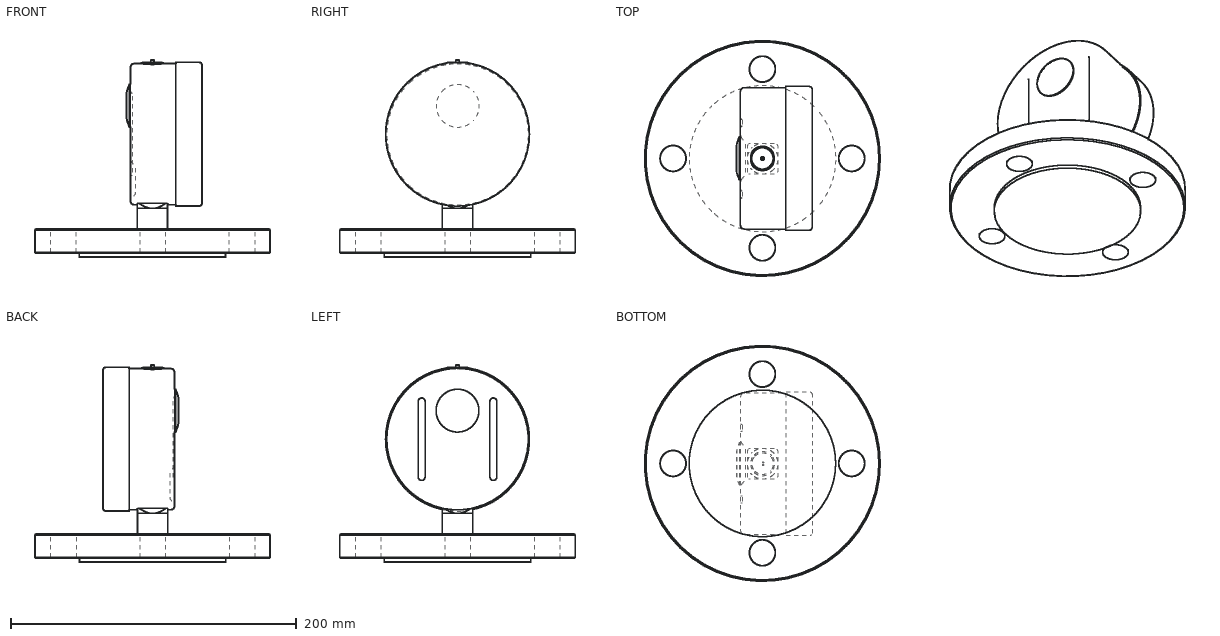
import cadquery as cq
import math

seat = 1.6

flange_diameter = 165
flange_bottom = 2.6
flange_top = 20.0
flange_chamfer = 1.0
raised_face_diameter = 102.6
bolt_hole_diameter = 18.0
bolt_circle_diameter = 125.0
bolt_count = 4

housing_diameter = 99
cover_diameter = 100.8
housing_z = 86.1
housing_back = -15.3
cover_back = 16.5
cover_front = 34.8
housing_fillet = 2.6
cover_fillet = 2.1

stem_diameter = 21.5
stem_shoulder_z = 34.2
square_end_top = housing_z - 41.2

plug_z = housing_z + 20.0
plug_diameter = 30.0
plug_rim = 0.8
plug_height = 2.8
plug_bulge = 0.23
plug_flat_diameter = 18.0
plug_recess_diameter = 13.7
plug_recess_depth = 0.2

groove_offset = 25.0
groove_lip = 0.7
groove_length = 59.0 - 2 * groove_lip
groove_width = 6.1 - 2 * groove_lip
groove_floor_fillet = 0.5
groove_depth = 1.3

pocket_width = 30.2
pocket_top = housing_z - 18.6
pocket_bottom_radius = 45.7
pocket_corner = 5
pocket_floor_corner = 3.6
pocket_depth = 3.3
pocket_inset = 4.0
pocket_lip_fillet = 2.1
pocket_floor_fillet = 0.8

button_diameter = 17.0
button_shoulder_diameter = 15.0
button_top_diameter = 12.2
button_edge_z = 135.5
button_shoulder_z = 136.1
button_top = 136.5
pin_diameter = 2.5
pin_top = 138.3
pin_chamfer = 0.5


def disc_x(diameter, x_start, x_end):
    """Cylinder along X on the housing axis."""
    plane = cq.Workplane("YZ", origin=(x_start, 0, housing_z))
    return plane.circle(diameter / 2).extrude(x_end - x_start)


def make_flange():
    plate = cq.Workplane("XY").workplane(offset=flange_bottom).circle(flange_diameter / 2)
    plate = plate.extrude(flange_top - flange_bottom).edges().chamfer(flange_chamfer)
    face = cq.Workplane("XY").circle(raised_face_diameter / 2).extrude(flange_bottom)
    flange = plate.union(face)
    holes = (
        cq.Workplane("XY")
        .polarArray(bolt_circle_diameter / 2, 0, 360, bolt_count)
        .circle(bolt_hole_diameter / 2)
        .extrude(flange_top)
    )
    return flange.cut(holes)


def make_housing():
    body = disc_x(housing_diameter, housing_back, cover_back).edges("<X").fillet(housing_fillet)
    cover = disc_x(cover_diameter, cover_back, cover_front).edges(">X").fillet(cover_fillet)
    return body.union(cover)


def make_stem():
    radius = stem_diameter / 2
    height = square_end_top - stem_shoulder_z
    rod = cq.Workplane("XY").workplane(offset=flange_top - seat).circle(radius)
    rod = rod.extrude(stem_shoulder_z - flange_top + seat)
    end = cq.Workplane("XY").workplane(offset=stem_shoulder_z).rect(stem_diameter, stem_diameter)
    end = end.extrude(height)
    cone = cq.Workplane(cq.Solid.makeCone(radius, radius + height, height))
    cone = cone.translate((0, 0, stem_shoulder_z))
    return rod.union(end.intersect(cone))


def make_plug():
    edge = plug_diameter / 2
    flat = plug_flat_diameter / 2
    recess = plug_recess_diameter / 2
    middle = ((edge + flat) / 2, (plug_rim + plug_height) / 2 + plug_bulge)
    profile = (
        cq.Workplane("XY")
        .moveTo(0, -seat)
        .lineTo(edge, -seat)
        .lineTo(edge, plug_rim)
        .threePointArc(middle, (flat, plug_height))
        .lineTo(recess, plug_height - plug_recess_depth)
        .lineTo(0, plug_height - plug_recess_depth)
        .close()
    )
    plug = profile.revolve(360, (0, 0, 0), (0, 1, 0))
    return plug.rotate((0, 0, 0), (0, 0, 1), 90).translate((housing_back, 0, plug_z))


def make_groove(y):
    plane = cq.Workplane("YZ", origin=(housing_back, y, housing_z))
    groove = plane.slot2D(groove_length, groove_width, 90).extrude(groove_depth)
    return groove.faces(">X").edges().fillet(groove_floor_fillet)


def pocket_outline(x, inset, corner):
    """Rounded pocket outline with a bottom edge concentric with the housing."""
    half = pocket_width / 2 - inset
    top = pocket_top - housing_z - inset
    radius = pocket_bottom_radius - inset
    side_bottom = -math.sqrt(radius**2 - half**2)
    plane = cq.Workplane("YZ", origin=(x, 0, housing_z))
    outline = (
        plane.moveTo(-half, top)
        .lineTo(half, top)
        .lineTo(half, side_bottom)
        .threePointArc((0, -radius), (-half, side_bottom))
        .close()
        .wire()
        .val()
    )
    return outline.fillet2D(corner, outline.Vertices())


def make_pocket():
    opening = pocket_outline(housing_back, 0, pocket_corner)
    floor = pocket_outline(housing_back + pocket_depth, pocket_inset, pocket_floor_corner)
    pocket = cq.Workplane(cq.Solid.makeLoft([opening, floor], True))
    return pocket.faces(">X").edges().fillet(pocket_floor_fillet)


def make_button():
    edge = button_diameter / 2
    base = housing_z + housing_diameter / 2 - 2 * seat
    pin = pin_diameter / 2
    profile = (
        cq.Workplane("XZ")
        .moveTo(0, base)
        .lineTo(edge, base)
        .lineTo(edge, button_edge_z)
        .lineTo(button_shoulder_diameter / 2, button_shoulder_z)
        .lineTo(button_top_diameter / 2, button_top)
        .lineTo(pin, button_top)
        .lineTo(pin, pin_top - pin_chamfer)
        .lineTo(pin - pin_chamfer, pin_top)
        .lineTo(0, pin_top)
        .close()
    )
    return profile.revolve(360, (0, 0, 0), (0, 1, 0))


def back_face_edges(y, z, half_width, half_height):
    """Selector for edges on the housing's back face, inside a box centred at (y, z)."""
    thickness = 0.02
    return cq.selectors.BoxSelector(
        (housing_back - thickness, y - half_width, z - half_height),
        (housing_back + thickness, y + half_width, z + half_height),
        boundingbox=True,
    )


def cut_back_features(housing):
    """Cut the grooves and the pocket and round their lips."""
    margin = 0.3
    for side in (-1, 1):
        y = side * groove_offset
        housing = housing.cut(make_groove(y))
        lip = back_face_edges(y, housing_z, groove_width / 2 + margin, groove_length / 2 + margin)
        housing = housing.edges(lip).fillet(groove_lip)
    housing = housing.cut(make_pocket())
    pocket_bottom = housing_z - pocket_bottom_radius
    middle = (pocket_top + pocket_bottom) / 2
    half_height = (pocket_top - pocket_bottom) / 2
    lip = back_face_edges(0, middle, pocket_width / 2 + margin, half_height + margin)
    return housing.edges(lip).fillet(pocket_lip_fillet)


result = make_flange().union(make_stem()).union(cut_back_features(make_housing()))
result = result.union(make_plug()).union(make_button())